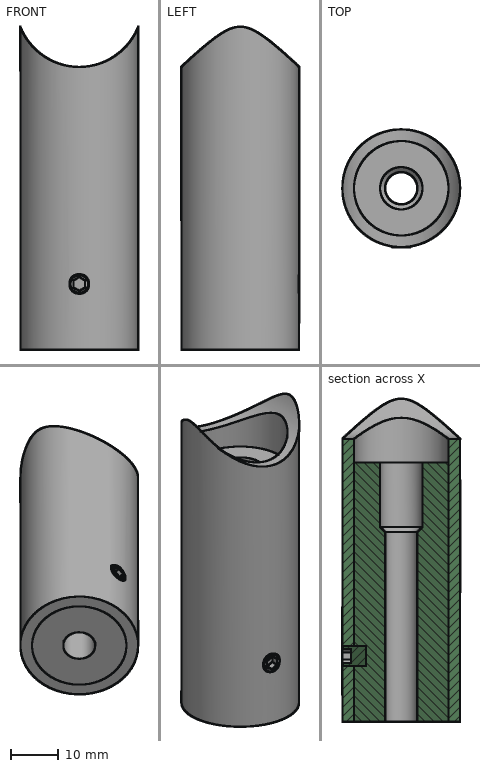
import cadquery as cq
import math

height = 68.5
outer_radius = 25.0 / 2
bore_radius = 20.0 / 2
saddle_radius = 13.4
saddle_axis_z = height + math.sqrt(saddle_radius**2 - outer_radius**2)

plug_top_z = 55.0
pilot_radius = 6.8 / 2
counterbore_radius = 9.0 / 2
counterbore_depth = 13.7
cone_depth = counterbore_radius - pilot_radius

screw_z = 14.0
screw_radius = 4.2 / 2
screw_length = 5.0
screw_chamfer = 0.2
hex_across_flats = 2.5
hex_across_corners = hex_across_flats / math.cos(math.radians(30))
hex_depth = 1.85


def screw_face_plane():
    """Plane of the screw's outer face, touching the tube's -Y side; its normal points to -Y."""
    return cq.Workplane("XZ", origin=(0, -outer_radius, screw_z))


def make_screw_blank():
    """Plain round blank of the screw, also the shape of the blind hole it sits in."""
    return screw_face_plane().circle(screw_radius).extrude(-screw_length)


def make_tube():
    """Sleeve with a saddle notch along Y at the top and a radial screw hole."""
    sleeve = cq.Workplane("XY").circle(outer_radius).circle(bore_radius).extrude(height)
    saddle = (
        cq.Workplane("XZ", origin=(0, 0, saddle_axis_z))
        .circle(saddle_radius)
        .extrude(outer_radius, both=True)
    )
    return sleeve.cut(saddle).cut(make_screw_blank())


def make_plug():
    """Turned plug: wide hole from above, narrowing over a cone to the pilot hole."""
    cone_top_z = plug_top_z - counterbore_depth
    half_section = [
        (pilot_radius, 0),
        (bore_radius, 0),
        (bore_radius, plug_top_z),
        (counterbore_radius, plug_top_z),
        (counterbore_radius, cone_top_z),
        (pilot_radius, cone_top_z - cone_depth),
    ]
    turned = cq.Workplane("XZ").polyline(half_section).close().revolve(360, (0, 0, 0), (0, 1, 0))
    return turned.cut(make_screw_blank())


def make_set_screw():
    """Headless screw with a chamfered outer end and a hexagon socket, corners up and down."""
    body = make_screw_blank().faces("<Y").chamfer(screw_chamfer)
    socket = (
        screw_face_plane()
        .transformed(rotate=(0, 0, 90))
        .polygon(6, hex_across_corners)
        .extrude(-hex_depth)
    )
    return body.cut(socket)


tube = make_tube()
plug = make_plug()
set_screw = make_set_screw()

result = cq.Compound.makeCompound([tube.val(), plug.val(), set_screw.val()])